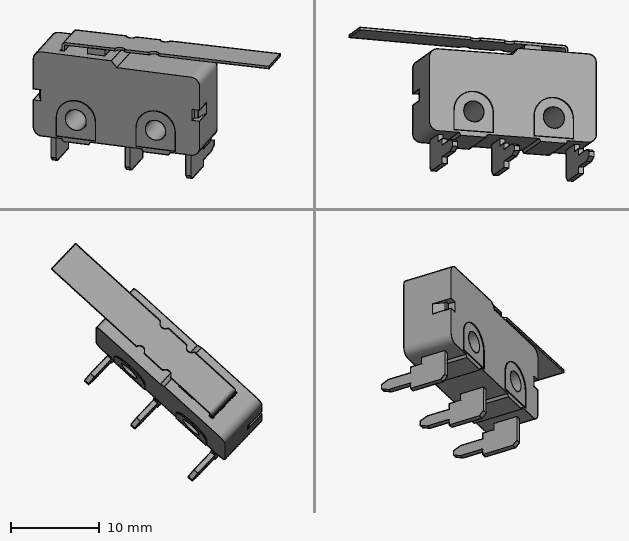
import cadquery as cq


case_length = 19.8
case_depth = 6.15
case_height = 10.25
low_height = 9.5
ramp_start = 9.3
ramp_end = 9.95
corner_radius = 1.0

hole_height = 2.52
mounts = [(5.1, 2.5), (14.6, 2.4)]
pad_radius = 2.33
pad_bottom = 0.25
front_pad_rise = 0.08
back_pad_rise = 0.15
foot_top_width = 3.4
foot_bottom_width = 3.0
foot_height = 0.33

notch_bottom = 4.27
notch_top = 5.6
notch_floor = 0.9
latch_depth = 0.47
latch_front = 0.83
slope_front = 1.05
slope_back = 2.45

lever_thickness = 0.3
lever_front = 1.08
lever_back = case_depth - lever_front
lever_width = lever_back - lever_front
lever_left = 3.05
lever_right = 27.7
lever_start_height = 11.28
lever_end_height = 11.58
bend_radius = 0.45
lever_notch_places = [9.98, 14.02]
lever_notch_radius = 0.6
lever_notch_offset = 0.17

pocket_depth = 0.55
pocket_gap = 0.2
pocket_back_gap = 0.08

plunger_left = 6.1
plunger_right = 8.15
plunger_inset = 0.05
plunger_top = 11.05
plunger_chamfer = 0.15

terminals = [(1.83, 0.0), (10.67, 0.0), (17.95, -0.2)]
terminal_thickness = 0.6
terminal_front = 1.7
neck_back = 4.68
blade_back = case_depth
tip_end = 9.92
taper_start = 8.98
shoulder_height = -0.83
pin_top = -1.58
pin_bottom = -2.95
tip_top = -2.0
tip_bottom = -2.55
terminal_bottom = -3.69
terminal_chamfer = 0.53
terminal_root = 0.28


def extrude_along_y(outline, front, back):
    """Solid from an XZ outline, spanning front to back along Y."""
    return (
        cq.Workplane("XZ", origin=(0, front, 0))
        .polyline(outline)
        .close()
        .extrude(front - back)
    )


def make_case():
    outline = [
        (0, 0),
        (case_length, 0),
        (case_length, low_height),
        (ramp_end, low_height),
        (ramp_start, case_height),
        (0, case_height),
    ]
    case = extrude_along_y(outline, 0, case_depth)
    return case.edges("|Y and (<X or >X)").fillet(corner_radius)


def make_pad(center):
    """Round-topped pad standing proud of both broad faces."""
    left = center - pad_radius
    right = center + pad_radius
    return (
        cq.Workplane("XZ", origin=(0, -front_pad_rise, 0))
        .moveTo(left, pad_bottom)
        .lineTo(right, pad_bottom)
        .lineTo(right, hole_height)
        .threePointArc((center, hole_height + pad_radius), (left, hole_height))
        .close()
        .extrude(-(front_pad_rise + case_depth + back_pad_rise))
    )


def make_foot(center):
    outline = [
        (center - foot_top_width / 2, 0),
        (center - foot_bottom_width / 2, -foot_height),
        (center + foot_bottom_width / 2, -foot_height),
        (center + foot_top_width / 2, 0),
    ]
    return extrude_along_y(outline, 0, case_depth)


def make_hole(center, diameter):
    return (
        cq.Workplane("XZ", origin=(center, -front_pad_rise, hole_height))
        .circle(diameter / 2)
        .extrude(-(front_pad_rise + case_depth + back_pad_rise))
    )


def make_notch():
    """Cutter for the left latch notch; its floor steps out to a slope."""
    outline = [
        (0, 0),
        (notch_floor, 0),
        (notch_floor, latch_front),
        (latch_depth, latch_front),
        (latch_depth, slope_front),
        (0, slope_back),
    ]
    return (
        cq.Workplane("XY", origin=(0, 0, notch_bottom))
        .polyline(outline)
        .close()
        .extrude(notch_top - notch_bottom)
    )


def make_leg_pocket():
    left = lever_left - pocket_gap
    return (
        cq.Workplane("XY", origin=(left, lever_front, case_height))
        .rect(lever_thickness + pocket_gap, lever_width + pocket_back_gap, centered=False)
        .extrude(-pocket_depth)
    )


def make_lever():
    """Bent strip, rising slightly towards its tip, notched along both edges."""
    leg_bottom = case_height - pocket_depth
    outline = [
        (lever_left, leg_bottom),
        (lever_left, lever_start_height),
        (lever_right, lever_end_height),
        (lever_right, lever_end_height - lever_thickness),
        (lever_left + lever_thickness, lever_start_height - lever_thickness),
        (lever_left + lever_thickness, leg_bottom),
    ]
    lever = extrude_along_y(outline, lever_front, lever_back)

    def bend_edge(x, z):
        return cq.selectors.NearestToPointSelector((x, lever_front + lever_width / 2, z))

    inner_x, inner_z = outline[4]
    lever = lever.edges(bend_edge(lever_left, lever_start_height)).fillet(bend_radius)
    lever = lever.edges(bend_edge(inner_x, inner_z)).fillet(bend_radius - lever_thickness)

    notch_rows = (lever_front - lever_notch_offset, lever_back + lever_notch_offset)
    notch_centers = [(x, y) for x in lever_notch_places for y in notch_rows]
    edge_notches = (
        cq.Workplane("XY", origin=(0, 0, case_height))
        .pushPoints(notch_centers)
        .circle(lever_notch_radius)
        .extrude(lever_end_height - case_height)
    )
    return lever.cut(edge_notches)


def make_plunger():
    outline = [
        (plunger_left, case_height),
        (plunger_right, case_height),
        (plunger_right, plunger_top - plunger_chamfer),
        (plunger_right - plunger_chamfer, plunger_top),
        (plunger_left + plunger_chamfer, plunger_top),
        (plunger_left, plunger_top - plunger_chamfer),
    ]
    return extrude_along_y(outline, lever_front + plunger_inset, lever_back - plunger_inset)


def make_terminal(center, shift):
    """Flat blade below the case with a tapered solder pin pointing back."""
    outline = [
        (terminal_front, terminal_root),
        (neck_back, terminal_root),
        (neck_back, shoulder_height),
        (blade_back, shoulder_height),
        (blade_back, pin_top),
        (taper_start, pin_top),
        (tip_end, tip_top),
        (tip_end, tip_bottom),
        (taper_start, pin_bottom),
        (blade_back, pin_bottom),
        (blade_back, terminal_bottom),
        (terminal_front + terminal_chamfer, terminal_bottom),
        (terminal_front, terminal_bottom + terminal_chamfer),
    ]
    return (
        cq.Workplane("YZ", origin=(center - terminal_thickness / 2, shift, 0))
        .polyline(outline)
        .close()
        .extrude(terminal_thickness)
    )


body = make_case()
for mount_x, hole_diameter in mounts:
    body = body.union(make_pad(mount_x)).union(make_foot(mount_x))
    body = body.cut(make_hole(mount_x, hole_diameter))

left_notch = make_notch()
right_notch = left_notch.mirror("YZ", (case_length / 2, 0, 0))
body = body.cut(left_notch).cut(right_notch).cut(make_leg_pocket())

result = body.union(make_lever()).union(make_plunger())
for terminal_x, terminal_shift in terminals:
    result = result.union(make_terminal(terminal_x, terminal_shift))